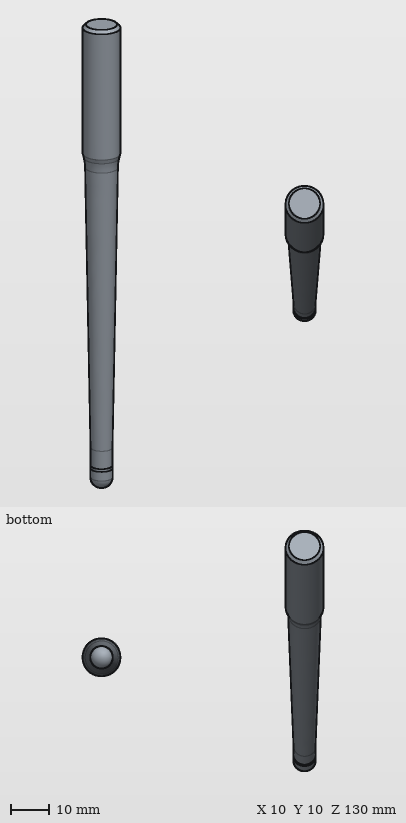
import cadquery as cq

length = 130.0
shank_radius = 10.0 / 2

ball_radius = 3.0
tip_height = 5.5

collar_top = 6.2
neck_radius = 5.8 / 2
neck_top = 11.3

taper_top = 90.0
taper_top_radius = 8.7 / 2
blend_top = 92.7
blend_top_radius = 4.7
shank_bottom = 93.9

chamfer = 0.9


def make_tip():
    """Hemisphere with a short cylinder above it."""
    profile = (
        cq.Workplane("XZ")
        .moveTo(0, 0)
        .radiusArc((ball_radius, ball_radius), -ball_radius)
        .lineTo(ball_radius, tip_height)
        .lineTo(0, tip_height)
        .close()
    )
    return profile.revolve(360, (0, 0, 0), (0, 1, 0))


def make_holder():
    """Collar, neck, tapered stem and shank in one turned body."""
    profile = (
        cq.Workplane("XZ")
        .moveTo(0, tip_height)
        .lineTo(ball_radius, tip_height)
        .lineTo(ball_radius, collar_top)
        .lineTo(neck_radius, collar_top)
        .lineTo(neck_radius, neck_top)
        .lineTo(taper_top_radius, taper_top)
        .tangentArcPoint((blend_top_radius, blend_top), relative=False)
        .lineTo(shank_radius, shank_bottom)
        .lineTo(shank_radius, length - chamfer)
        .lineTo(shank_radius - chamfer, length)
        .lineTo(0, length)
        .close()
    )
    return profile.revolve(360, (0, 0, 0), (0, 1, 0))


tip = make_tip()
holder = make_holder()

result = cq.Compound.makeCompound([tip.val(), holder.val()])